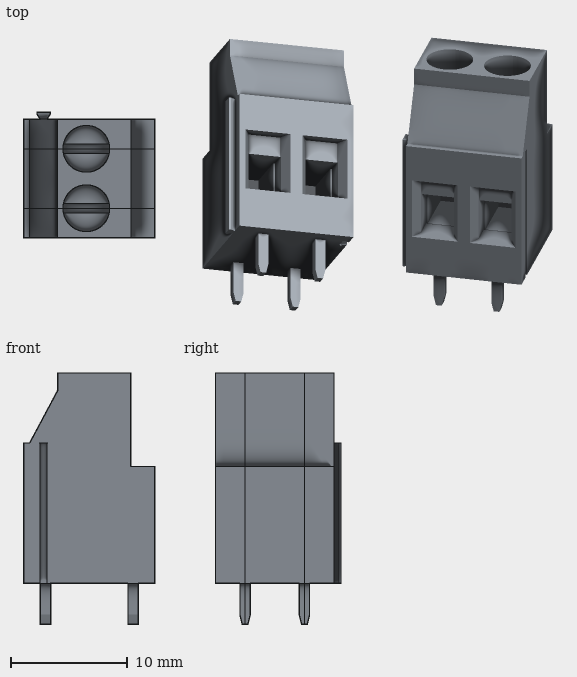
import cadquery as cq


POLE_COUNT = 2
PITCH = 5.08
ROW_LENGTH = POLE_COUNT * PITCH
POLE_CENTRES = [(index + 0.5) * PITCH for index in range(POLE_COUNT)]

BODY_DEPTH = 11.2
BODY_HEIGHT = 18.0
LEDGE_WIDTH = 0.5
LEDGE_HEIGHT = 12.0
TOWER_FRONT = 2.9
TOWER_REAR = 9.15
SLOPE_TOP = 16.5
REAR_STEP_HEIGHT = 10.0

SCREW_X = 5.35
SCREW_DIAMETER = 4.0
RECESS_DEPTH = 2.0
SLOT_WIDTH = 0.8
SLOT_DEPTH = 0.8

ENTRY_FLOOR = 3.45
MOUTH_HEIGHT = 5.35
MOUTH_WIDTH = 4.0
TAPER_END = 0.95
MOUTH_END = 1.12
DUCT_HEIGHT = 3.6
DUCT_WIDTH = 2.9
DUCT_END = 2.8
POCKET_WIDTH = 2.6
POCKET_FLOOR_STEP = 0.05
POCKET_END = SCREW_X + SCREW_DIAMETER / 2

PIN_SIZE = 0.9
PIN_LENGTH = 3.5
PIN_TIP_WIDTH = 0.5
PIN_TIP_LENGTH = 0.8
PIN_FRONT_X = 1.86
PIN_ROW_SPACING = 7.5

DOVETAIL_X = 1.7
DOVETAIL_DEPTH = 0.6
DOVETAIL_NECK = 0.6
DOVETAIL_HEAD = 1.15
DOVETAIL_HEAD_EDGE = 0.17


def housing_block():
    """Stepped side profile extruded over the full row of poles."""
    profile = [
        (0, 0),
        (BODY_DEPTH, 0),
        (BODY_DEPTH, REAR_STEP_HEIGHT),
        (TOWER_REAR, REAR_STEP_HEIGHT),
        (TOWER_REAR, BODY_HEIGHT),
        (TOWER_FRONT, BODY_HEIGHT),
        (TOWER_FRONT, SLOPE_TOP),
        (LEDGE_WIDTH, LEDGE_HEIGHT),
        (0, LEDGE_HEIGHT),
    ]
    return cq.Workplane("XZ").polyline(profile).close().extrude(-ROW_LENGTH)


def screw_recess(pole_y):
    """Round recess down to the screw head, with the screwdriver slot across the head."""
    head_height = BODY_HEIGHT - RECESS_DEPTH
    base = cq.Workplane("XY", origin=(SCREW_X, pole_y, head_height))
    recess = base.circle(SCREW_DIAMETER / 2).extrude(RECESS_DEPTH)
    slot = base.rect(SCREW_DIAMETER, SLOT_WIDTH).extrude(-SLOT_DEPTH)
    head = base.circle(SCREW_DIAMETER / 2).extrude(-SLOT_DEPTH)
    return recess.union(slot.intersect(head))


def entry_passage(pole_y, start_x, end_x, width, floor, ceiling):
    """Rectangular passage along X, centred on the pole."""
    return cq.Workplane("XY", origin=(start_x, pole_y, floor)).box(
        end_x - start_x, width, ceiling - floor, centered=(False, True, False)
    )


def wire_entry(pole_y):
    """Mouth with side walls that taper inward, then the duct and the slightly raised clamp pocket."""
    taper_outline = [
        (0, -MOUTH_WIDTH / 2),
        (TAPER_END, -DUCT_WIDTH / 2),
        (TAPER_END, DUCT_WIDTH / 2),
        (0, MOUTH_WIDTH / 2),
    ]
    taper = (
        cq.Workplane("XY", origin=(0, pole_y, ENTRY_FLOOR))
        .polyline(taper_outline)
        .close()
        .extrude(MOUTH_HEIGHT)
    )
    mouth_ceiling = ENTRY_FLOOR + MOUTH_HEIGHT
    duct_ceiling = ENTRY_FLOOR + DUCT_HEIGHT
    pocket_floor = ENTRY_FLOOR + POCKET_FLOOR_STEP
    mouth = entry_passage(pole_y, TAPER_END, MOUTH_END, DUCT_WIDTH, ENTRY_FLOOR, mouth_ceiling)
    duct = entry_passage(pole_y, MOUTH_END, DUCT_END, DUCT_WIDTH, ENTRY_FLOOR, duct_ceiling)
    pocket = entry_passage(pole_y, DUCT_END, POCKET_END, POCKET_WIDTH, pocket_floor, duct_ceiling)
    return taper.union(mouth).union(duct).union(pocket)


def solder_pin(pin_x, pole_y):
    """Square pin below the housing whose two Y sides taper toward the tip."""
    shoulder = PIN_TIP_LENGTH - PIN_LENGTH
    outline = [
        (-PIN_SIZE / 2, 0),
        (-PIN_SIZE / 2, shoulder),
        (-PIN_TIP_WIDTH / 2, -PIN_LENGTH),
        (PIN_TIP_WIDTH / 2, -PIN_LENGTH),
        (PIN_SIZE / 2, shoulder),
        (PIN_SIZE / 2, 0),
    ]
    return (
        cq.Workplane("YZ", origin=(pin_x, pole_y, 0))
        .polyline(outline)
        .close()
        .extrude(PIN_SIZE / 2, both=True)
    )


def dovetail(base_y):
    """Upright dovetail from base_y toward +Y, widening to a straight-edged head."""
    outline = [
        (-DOVETAIL_NECK / 2, 0),
        (DOVETAIL_NECK / 2, 0),
        (DOVETAIL_HEAD / 2, DOVETAIL_DEPTH - DOVETAIL_HEAD_EDGE),
        (DOVETAIL_HEAD / 2, DOVETAIL_DEPTH),
        (-DOVETAIL_HEAD / 2, DOVETAIL_DEPTH),
        (-DOVETAIL_HEAD / 2, DOVETAIL_DEPTH - DOVETAIL_HEAD_EDGE),
    ]
    return (
        cq.Workplane("XY", origin=(DOVETAIL_X, base_y, 0))
        .polyline(outline)
        .close()
        .extrude(LEDGE_HEIGHT)
    )


def pole_row():
    """Housing with the screw recesses, wire entries and pins of all the poles."""
    row = housing_block()
    for pole_y in POLE_CENTRES:
        row = row.cut(screw_recess(pole_y)).cut(wire_entry(pole_y))
        for pin_x in (PIN_FRONT_X, PIN_FRONT_X + PIN_ROW_SPACING):
            row = row.union(solder_pin(pin_x, pole_y))
    return row


def slice_of_row(row, start_y, end_y):
    """Part of the row between two planes square to Y."""
    slab = cq.Workplane("XY", origin=(0, start_y, -PIN_LENGTH)).box(
        BODY_DEPTH, end_y - start_y, BODY_HEIGHT + PIN_LENGTH, centered=False
    )
    return row.intersect(slab, clean=False)


def groove_end(row):
    """End slice with the dovetail groove, up to the first pole centre."""
    grooved_row = row.cut(dovetail(0))
    return slice_of_row(grooved_row, 0, POLE_CENTRES[0])


def middle_slice(row, start_y):
    """Slice between two neighbouring pole centres."""
    return slice_of_row(row, start_y, start_y + PITCH)


def rib_end(row):
    """End slice with the dovetail rib, from the last pole centre."""
    ribbed_row = row.union(dovetail(ROW_LENGTH))
    return slice_of_row(ribbed_row, POLE_CENTRES[-1], ROW_LENGTH + DOVETAIL_DEPTH)


complete_row = pole_row()
first_end = groove_end(complete_row)
middles = [middle_slice(complete_row, pole_y) for pole_y in POLE_CENTRES[:-1]]
last_end = rib_end(complete_row)

result = cq.Compound.makeCompound(
    [first_end.val(), *[middle.val() for middle in middles], last_end.val()]
)